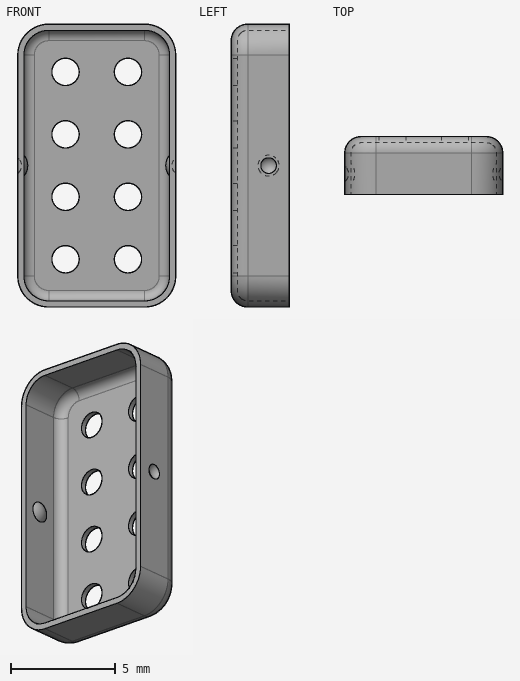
import cadquery as cq

width = 7.6
depth = 2.8
height = 13.6
wall = 0.3

corner_radius = 1.5
floor_edge_radius = 0.8

hole_diameter = 1.3
hole_pitch = 3.0
hole_columns = 2
hole_rows = 4

dimple_mouth_radius = 0.375
dimple_depth = 0.19
dimple_from_rim = 1.0
dimple_radius = (dimple_mouth_radius**2 + dimple_depth**2) / (2 * dimple_depth)
bump_radius = dimple_radius + wall
sphere_center_x = width / 2 + dimple_radius - dimple_depth

rim_y = -depth / 2
floor_outer_y = depth / 2


def rounded_block(inset):
    """Block with rounded corners and floor edge, drawn in by inset from the outside."""
    return (
        cq.Workplane("XY")
        .box(width - 2 * inset, depth - inset, height - 2 * inset)
        .translate((0, -inset / 2, 0))
        .edges("|Y")
        .fillet(corner_radius - inset)
        .faces(">Y")
        .edges()
        .fillet(floor_edge_radius - inset)
    )


def floor_holes():
    """Grid of cylinders that pass through the floor."""
    return (
        cq.Workplane("XZ", origin=(0, floor_outer_y, 0))
        .rarray(hole_pitch, hole_pitch, hole_columns, hole_rows)
        .circle(hole_diameter / 2)
        .extrude(wall)
    )


def wall_sphere(side, radius):
    """Sphere centred just outside the long wall at -X (side -1) or +X (side 1)."""
    center = (side * sphere_center_x, rim_y + dimple_from_rim, 0)
    return cq.Workplane("XY").sphere(radius, direct=(0, 1, 0)).translate(center)


outer_block = rounded_block(0)
result = outer_block.cut(rounded_block(wall)).cut(floor_holes())

for side in (-1, 1):
    bump = wall_sphere(side, bump_radius).intersect(outer_block)
    result = result.union(bump, clean=False).cut(wall_sphere(side, dimple_radius))